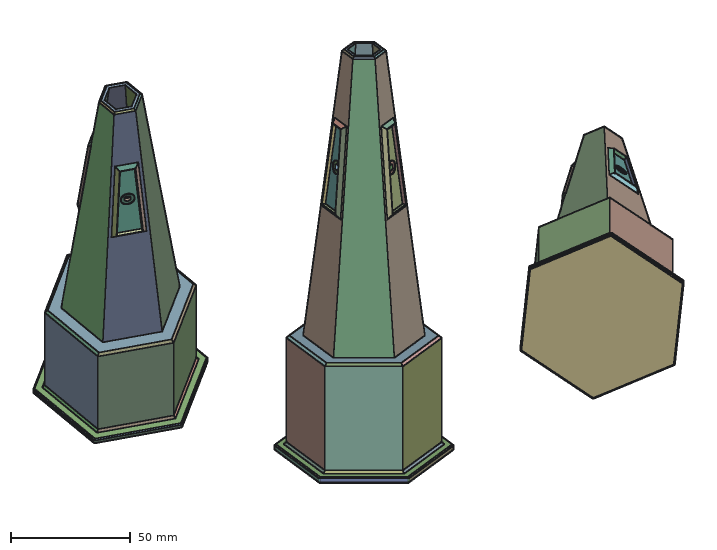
import cadquery as cq
import math

total_height = 185.0
corners_per_side = math.sqrt(3)
corners_per_flats = 2 / math.sqrt(3)

flange_flats = 65.0
flange_height = 3.0
flange_corner_radius = 1.0
flange_chamfer = 0.5
block_flats = 56.2
block_top = 53.1
block_chamfer = 1.1
skirt_width = 1.0
skirt_height = 1.1

tower_bottom_flats = 44.0
tower_top_flats = 16.0
tower_wall = 2.0
rim_chamfer = 0.7

panel_angles = (90, 210, 330)
panel_bottom = 113.2
panel_top = 154.1
panel_edge_gap = 1.5
panel_raise = 1.7
frame_land = 0.28
recess_depth = 1.7

hole_diameter = 2.8
counterbore_diameter = 6.0
counterbore_depth = 0.4

tower_height = total_height - block_top
flats_per_height = (tower_bottom_flats - tower_top_flats) / tower_height
face_lean = math.degrees(math.atan(flats_per_height / 2))
face_stretch = 1 / math.cos(math.radians(face_lean))


def tower_flats(z):
    """Distance across the tower's flats at height z."""
    return tower_bottom_flats - flats_per_height * (z - block_top)


def hexagon_prism(height, flats):
    """Upright hexagonal solid standing on the ground, with corners on the X axis."""
    return cq.Workplane("XY").polygon(6, flats * corners_per_flats).extrude(height)


def hexagon_frustum(bottom_z, bottom_flats, top_z, top_flats):
    """Hexagonal solid with corners on the X axis, changing evenly between two sizes."""
    return (
        cq.Workplane("XY", origin=(0, 0, bottom_z))
        .polygon(6, bottom_flats * corners_per_flats)
        .workplane(offset=top_z - bottom_z)
        .polygon(6, top_flats * corners_per_flats)
        .loft(ruled=True)
    )


def make_base():
    """Solid hexagonal block on a chamfered flange, with a small sloped skirt between them."""
    flange = (
        hexagon_prism(flange_height, flange_flats)
        .edges("|Z")
        .fillet(flange_corner_radius)
        .faces("<Z or >Z")
        .edges()
        .chamfer(flange_chamfer)
    )
    block = (
        hexagon_prism(block_top, block_flats)
        .faces(">Z")
        .edges()
        .chamfer(block_chamfer)
    )
    skirt = hexagon_frustum(
        flange_height, block_flats + 2 * skirt_width, flange_height + skirt_height, block_flats
    )
    return flange.union(block).union(skirt)


def panel_plane(angle):
    """Plane on a tower face, at mid-height of the panel: x along the face, y up its slope."""
    middle_z = (panel_bottom + panel_top) / 2
    apothem = tower_flats(middle_z) / 2
    turn = math.radians(angle)
    lean = math.radians(face_lean)
    outward = (
        math.cos(turn) * math.cos(lean),
        math.sin(turn) * math.cos(lean),
        math.sin(lean),
    )
    return cq.Plane(
        origin=(apothem * math.cos(turn), apothem * math.sin(turn), middle_z),
        xDir=(-math.sin(turn), math.cos(turn), 0),
        normal=outward,
    )


def panel_outline(plane, height_above_face):
    """Trapezoid of the panel's foot, parallel to the edges of the tower face."""
    half_length = (panel_top - panel_bottom) / 2 * face_stretch
    bottom_half = tower_flats(panel_bottom) / corners_per_side / 2 - panel_edge_gap
    top_half = tower_flats(panel_top) / corners_per_side / 2 - panel_edge_gap
    return (
        cq.Workplane(plane)
        .workplane(offset=height_above_face)
        .moveTo(-bottom_half, -half_length)
        .lineTo(bottom_half, -half_length)
        .lineTo(top_half, half_length)
        .lineTo(-top_half, half_length)
        .close()
    )


def add_panel(tower, angle):
    """Raised frame with 45 degree flanks, a sunken field and a counterbored hole."""
    plane = panel_plane(angle)
    frame = panel_outline(plane, 0).extrude(panel_raise, taper=45)
    field_height = panel_raise - recess_depth
    field = panel_outline(plane, field_height).offset2D(-panel_raise - frame_land).extrude(recess_depth)
    field_plane = cq.Workplane(plane).workplane(offset=field_height)
    counterbore = field_plane.circle(counterbore_diameter / 2).extrude(-counterbore_depth)
    hole = field_plane.circle(hole_diameter / 2).extrude(-field_height - 2 * tower_wall)
    return tower.union(frame).cut(field).cut(counterbore).cut(hole)


def make_tower():
    """Hollow pyramid, open at both ends, with three panels and a chamfered rim."""
    tower = hexagon_frustum(block_top, tower_bottom_flats, total_height, tower_top_flats)
    tower = tower.faces(">Z").edges().chamfer(rim_chamfer)
    cavity = hexagon_frustum(
        block_top,
        tower_bottom_flats - 2 * tower_wall,
        total_height,
        tower_top_flats - 2 * tower_wall,
    )
    tower = tower.cut(cavity)
    for angle in panel_angles:
        tower = add_panel(tower, angle)
    return tower


base = make_base()
tower = make_tower()
result = cq.Compound.makeCompound([base.val(), tower.val()])